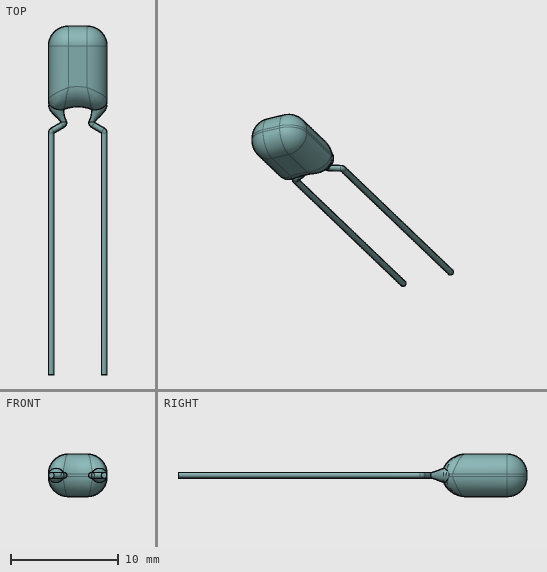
import cadquery as cq
import math

width = 5.5
height = 4.0
total_length = 32.5
half_width = width / 2

rim_radius = 1.9
front_center_y = -7.55
front_arc_radius = 3.58
front_corner_radius = 0.95

wire_radius = 0.275
bend_radius = 0.3
bend_angle = math.radians(60)
lead_x = half_width - wire_radius
neck_tip_x = 1.285
neck_tip_y = -8.97

neck_sections = [
    (1.95, -7.1, 0.68),
    (1.98, -7.67, 0.68),
    (1.8, -8.2, 0.52),
    (neck_tip_x, neck_tip_y, wire_radius),
]


def facing_rear(x, y):
    """Workplane at (x, y) whose normal is +Y."""
    return cq.Workplane(cq.Plane((x, y, 0), (1, 0, 0), (0, 1, 0)))


def make_shell():
    """Rounded capsule with a concave front face."""
    arc_drop = front_arc_radius - math.sqrt(front_arc_radius**2 - half_width**2)
    corner_y = front_center_y - arc_drop
    block = (
        cq.Workplane("XY", origin=(0, 0, -height / 2))
        .moveTo(-half_width, 0)
        .lineTo(half_width, 0)
        .lineTo(half_width, corner_y)
        .threePointArc((0, front_center_y), (-half_width, corner_y))
        .close()
        .extrude(height)
    )
    block = block.edges("|Z and >Y").fillet(rim_radius)
    block = block.edges("|Z and <Y").fillet(front_corner_radius)
    return block.faces("|Z").edges().fillet(rim_radius)


def make_neck(side):
    """Tapered neck that runs from a front corner of the housing to a lead."""
    rings = [
        cq.Wire.makeCircle(radius, cq.Vector(side * x, y, 0), cq.Vector(0, 1, 0))
        for x, y, radius in neck_sections
    ]
    return cq.Workplane(cq.Solid.makeLoft(rings))


def make_housing():
    housing = make_shell()
    for side in (-1, 1):
        housing = housing.union(make_neck(side))
    return housing.solids()


def make_lead(side):
    """Round wire that starts at the neck tip, jogs outward and runs straight to the end."""
    bend_dx = bend_radius * (1 - math.cos(bend_angle))
    bend_dy = bend_radius * math.sin(bend_angle)
    half_bend_dx = bend_radius * (1 - math.cos(bend_angle / 2))
    half_bend_dy = bend_radius * math.sin(bend_angle / 2)
    jog_dx = lead_x - neck_tip_x - 2 * bend_dx
    jog_dy = jog_dx / math.tan(bend_angle)

    jog_start = (neck_tip_x + bend_dx, neck_tip_y - bend_dy)
    jog_end = (lead_x - bend_dx, jog_start[1] - jog_dy)
    straight_start_y = jog_end[1] - bend_dy

    def at(x, y):
        return (side * x, y)

    path = (
        cq.Workplane("XY")
        .moveTo(*at(neck_tip_x, neck_tip_y))
        .threePointArc(at(neck_tip_x + half_bend_dx, neck_tip_y - half_bend_dy), at(*jog_start))
        .lineTo(*at(*jog_end))
        .threePointArc(
            at(lead_x - half_bend_dx, straight_start_y + half_bend_dy),
            at(lead_x, straight_start_y),
        )
        .lineTo(*at(lead_x, -total_length))
    )
    return facing_rear(side * neck_tip_x, neck_tip_y).circle(wire_radius).sweep(path)


housing = make_housing()
leads = [make_lead(side) for side in (-1, 1)]

result = cq.Compound.makeCompound([housing.val(), *[lead.val() for lead in leads]])